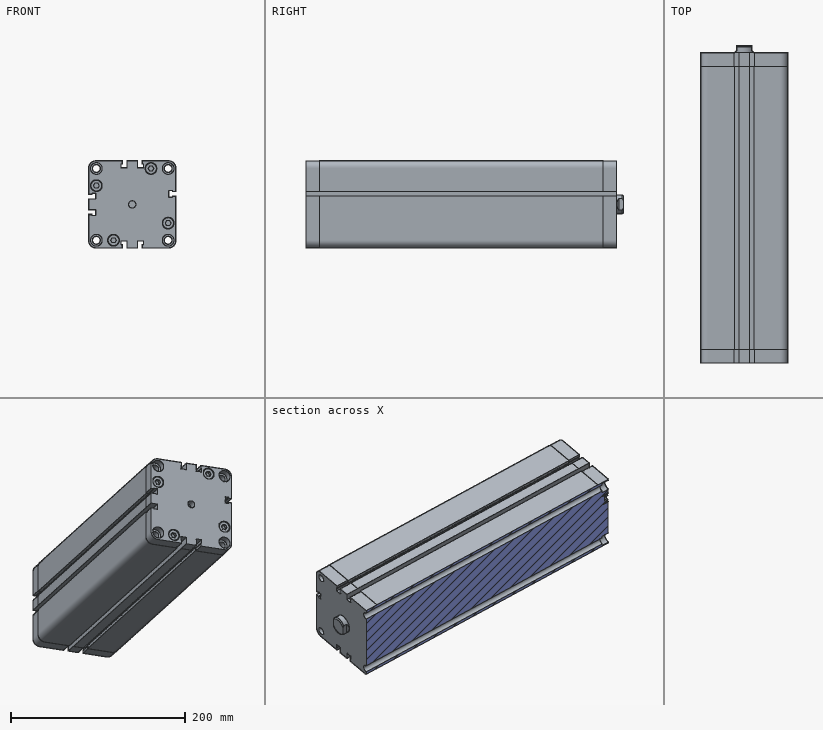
import cadquery as cq

side = 100.0
half = side / 2
total_length = 364.0
rod_length = 8.0
bar_length = total_length - rod_length
cap_length = 15.5
corner_radius = 8.5
cap_inset = 0.2

groove_depth = 8.0
lip_depth = 4.0
groove_inner = 6.2
mouth_outer = 11.3
cavity_outer = 12.7
cap_mouth_outer = 12.0
single_groove_center = 12.0
single_mouth_width = 5.0
single_cavity_width = 7.5

hole_offset = 41.0
mount_bore = 13.5
mount_bore_depth = 9.0
mount_through = 8.7

screw_offset = 21.5
screw_bore = 13.5
screw_head = 12.5
screw_bore_depth = 8.5
screw_recess = 0.7
socket_corners = 6.5
socket_depth = 4.5

port_diameter = 8.5
port_depth = 11.0

rod_diameter = 22.0
rod_chamfer = 1.0
rod_chamfer_length = 1.5
rod_flats = 17.5
rod_flat_length = 5.5


def box(x_range, y_range, z_range):
    """Axis-aligned block from (low, high) pairs."""
    size = [high - low for low, high in (x_range, y_range, z_range)]
    low_corner = (x_range[0], y_range[0], z_range[0])
    return cq.Workplane("XY").box(*size, centered=False).translate(low_corner)


def centered_range(center, width):
    """(low, high) pair around a center."""
    return (center - width / 2, center + width / 2)


def cylinder(x, z, diameter, y_start, length):
    """Cylinder along +Y, starting at y_start."""
    plane = cq.Workplane("XZ", origin=(x, y_start, z))
    return plane.circle(diameter / 2).extrude(-length)


def top_groove(mouth_range, cavity_range, y_range, depth):
    """Groove in the +Z side: a mouth at the surface and a cavity below it."""
    mouth = box(mouth_range, y_range, (half - lip_depth, half))
    cavity = box(cavity_range, y_range, (half - depth, half - lip_depth))
    return mouth.union(cavity)


def groove_pair(mouth_edge, y_range, depth):
    """Two mirrored grooves in the +Z side."""
    groove = top_groove((groove_inner, mouth_edge), (groove_inner, cavity_outer), y_range, depth)
    return groove.union(groove.mirror("YZ"))


def turn(body, angle):
    """Turn a body about the Y axis."""
    return body.rotate((0, 0, 0), (0, 1, 0), angle)


def rounded_bar(half_width, y_range):
    """Square bar along Y with rounded long edges."""
    square = (-half_width, half_width)
    return box(square, y_range, square).edges("|Y").fillet(corner_radius)


full_length = (0, bar_length)
cap_ranges = ((0, cap_length), (bar_length - cap_length, bar_length))
body = rounded_bar(half, (cap_length, bar_length - cap_length))
for cap_range in cap_ranges:
    body = body.union(rounded_bar(half - cap_inset, cap_range))

for angle in (0, 180, -90):
    body = body.cut(turn(groove_pair(mouth_outer, full_length, groove_depth), angle))
    for cap_range in cap_ranges:
        cap_grooves = groove_pair(cap_mouth_outer, cap_range, groove_depth + cap_inset)
        body = body.cut(turn(cap_grooves, angle))

single_groove = top_groove(
    centered_range(-single_groove_center, single_mouth_width),
    centered_range(-single_groove_center, single_cavity_width),
    full_length,
    groove_depth,
)
body = body.cut(turn(single_groove, 90))

for x in (-hole_offset, hole_offset):
    for z in (-hole_offset, hole_offset):
        body = body.cut(cylinder(x, z, mount_through, 0, bar_length))
        body = body.cut(cylinder(x, z, mount_bore, 0, mount_bore_depth))

screw_places = (
    (-hole_offset, screw_offset),
    (screw_offset, hole_offset),
    (hole_offset, -screw_offset),
    (-screw_offset, -hole_offset),
)
for x, z in screw_places:
    socket_plane = cq.Workplane("XZ", origin=(x, screw_recess, z))
    socket = socket_plane.polygon(6, socket_corners).extrude(-socket_depth)
    head = cylinder(x, z, screw_head, screw_recess, screw_bore_depth - screw_recess)
    body = body.cut(cylinder(x, z, screw_bore, 0, screw_bore_depth)).union(head.cut(socket))

body = body.cut(cylinder(0, 0, port_diameter, 0, port_depth))

rod = cylinder(0, 0, rod_diameter, bar_length, rod_length).faces(">Y").chamfer(rod_chamfer_length, rod_chamfer)
flat = rod_flats / 2
slope_start = total_length - rod_flat_length
slope_size = rod_diameter / 2 - flat
rod_outline = (
    cq.Workplane("XY", origin=(0, 0, -rod_diameter / 2))
    .moveTo(-flat, total_length)
    .lineTo(flat, total_length)
    .lineTo(flat, slope_start)
    .lineTo(flat + slope_size, slope_start - slope_size)
    .lineTo(flat + slope_size, bar_length)
    .lineTo(-flat - slope_size, bar_length)
    .lineTo(-flat - slope_size, slope_start - slope_size)
    .lineTo(-flat, slope_start)
    .close()
    .extrude(rod_diameter)
)
result = body.union(rod.intersect(rod_outline))